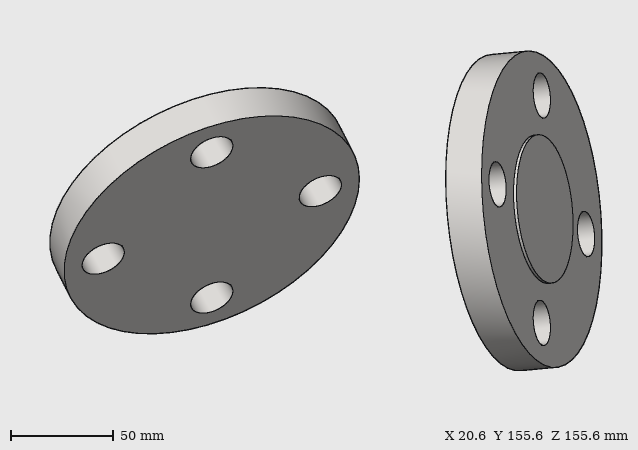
import cadquery as cq

flange_diameter = 155.575
overall_thickness = 20.64
raised_face_diameter = 73.025
raised_face_height = 1.59
bolt_circle_diameter = 114.3
bolt_hole_diameter = 22.225
bolt_hole_count = 4

disc_thickness = overall_thickness - raised_face_height
full_turn = 360


def make_disc():
    """Flange disc, from the back of the raised face to the rear side."""
    return (
        cq.Workplane("YZ", origin=(raised_face_height, 0, 0))
        .circle(flange_diameter / 2)
        .extrude(disc_thickness)
    )


def make_raised_face():
    """Low round sealing pad standing on the -X side of the disc."""
    return cq.Workplane("YZ").circle(raised_face_diameter / 2).extrude(raised_face_height)


def make_bolt_holes():
    """Cutters for the through holes, equally spaced and starting on the Y axis."""
    return (
        cq.Workplane("YZ")
        .polarArray(bolt_circle_diameter / 2, 0, full_turn, bolt_hole_count)
        .circle(bolt_hole_diameter / 2)
        .extrude(overall_thickness)
    )


result = make_disc().union(make_raised_face()).cut(make_bolt_holes())